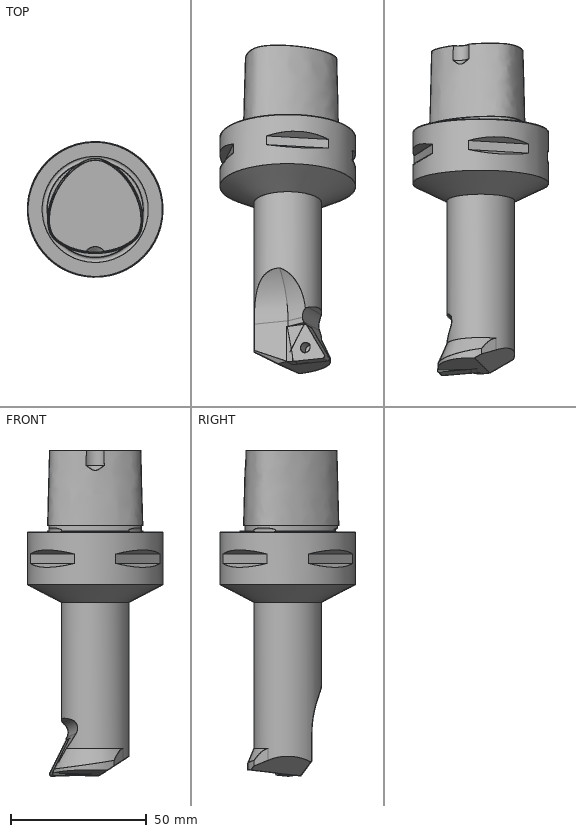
import cadquery as cq
import math

COUPLING_HEIGHT = 30.0
TOOL_REACH = 90.0
NECK_HEIGHT = 2.4
COLLAR_HEIGHT = 0.3
FLANGE_THICKNESS = 19.4
CONE_END = 25.9

COUPLING_TOP_RADIUS = 16.85
COUPLING_BASE_RADIUS = 17.55
LOBE_HEIGHT = 1.27
LOBE_COUNT = 3
LOBE_SAMPLES = 48
NECK_INSET = 0.5

KEY_RADIUS = 4.0
KEY_AXIS_OFFSET = 17.7
KEY_DEPTH = 5.5
KEY_POINT_HEIGHT = 3.6

FLANGE_RADIUS = 25.0
FLANGE_CHAMFER = 0.3
FACE_GROOVE_INNER_RADIUS = 17.6
FACE_GROOVE_OUTER_RADIUS = 19.66
FACE_GROOVE_CENTER_Z = 0.5
SHANK_RADIUS = 12.5

SLOT_COUNT = 4
SLOT_CENTER_Z = -9.85
SLOT_FLOOR_DISTANCE = 22.2
SLOT_FLOOR_WIDTH = 3.4
SLOT_MOUTH_WIDTH = 6.4

INSERT_SIDE = 16.5
INSERT_THICKNESS = 4.76
INSERT_CORNER_RADIUS = 0.8
INSERT_HOLE_RADIUS = 3.81 / 2
INSERT_CORNER_ANGLE = 60.0
INSERT_LEAD_ANGLE = 2.0
SHARP_CORNER_X = -17.35
SHARP_CORNER_Y = 0.0
FACE_RISE_X = 0.23
FACE_RISE_Z = 0.10

GULLET_RADIUS = 4.0
GULLET_START = 16.5
CUT_LENGTH = 40.0

FLARE_START = 79.7
FLARE_SLOPE = 0.41
FLARE_SHIFT_X = -0.35
HEAD_TRIM_RADIUS = 14.8
HEAD_TRIM_CENTER_X = -1.1
HEAD_SIDE_START = (10.4, -6.9)
HEAD_SIDE_ANGLE = -57.0
BOTTOM_RELIEF_ANGLE = 6.7
BOTTOM_CLEARANCE = 0.7
HEEL_TOP = (SHANK_RADIUS, -82.6)
HEEL_BOTTOM = (1.7, -89.6)

RELIEF_Y = 4.7
RELIEF_CORNER_X = -3.5
RELIEF_ANGLE = 19.0
RELIEF_ARC_START = 74.0
RELIEF_ARC_RADIUS = 28.0
RELIEF_ARC_END = 52.0
REAR_CHAMFER_TOP = (8.6, -84.7)
REAR_CHAMFER_BOTTOM = (5.2, -89.3)

SEAT_TOP = 76.2
SEAT_WALL_START = (-4.5, 3.2)
SEAT_WALL_END = (-2.9, 4.9)

corner_distance = INSERT_CORNER_RADIUS / math.sin(math.radians(INSERT_CORNER_ANGLE / 2))
corner_center_angle = math.radians(INSERT_CORNER_ANGLE / 2 + INSERT_LEAD_ANGLE)
corner_drop = corner_distance * math.sin(corner_center_angle) - INSERT_CORNER_RADIUS

INSERT_PLANE = cq.Plane(
    origin=cq.Vector(SHARP_CORNER_X, SHARP_CORNER_Y, -TOOL_REACH - corner_drop),
    xDir=cq.Vector(1, FACE_RISE_X, 0),
    normal=cq.Vector(FACE_RISE_X, -1, FACE_RISE_Z),
)


def polar(distance, degrees):
    angle = math.radians(degrees)
    return distance * math.cos(angle), distance * math.sin(angle)


def lobed_wire(radius, z):
    """Closed curve of constant width with one of its three lobes towards +Y."""

    def point(t):
        angle = 2 * math.pi * t
        turn = angle + math.pi / 2
        reach = radius + LOBE_HEIGHT * math.cos(LOBE_COUNT * angle)
        slide = -LOBE_COUNT * LOBE_HEIGHT * math.sin(LOBE_COUNT * angle)
        x = reach * math.cos(turn) - slide * math.sin(turn)
        y = reach * math.sin(turn) + slide * math.cos(turn)
        return cq.Vector(x, y, z)

    points = [point(i / LOBE_SAMPLES) for i in range(LOBE_SAMPLES)]
    return cq.Wire.assembleEdges([cq.Edge.makeSpline(points, periodic=True)])


def lobed_solid(bottom_radius, bottom_z, top_radius, top_z):
    wires = [lobed_wire(bottom_radius, bottom_z), lobed_wire(top_radius, top_z)]
    return cq.Workplane(cq.Solid.makeLoft(wires, True))


def make_coupling():
    taper = lobed_solid(COUPLING_BASE_RADIUS, NECK_HEIGHT, COUPLING_TOP_RADIUS, COUPLING_HEIGHT)
    neck_radius = COUPLING_BASE_RADIUS - NECK_INSET
    neck = lobed_solid(neck_radius, 0, neck_radius, NECK_HEIGHT)
    key_floor = COUPLING_HEIGHT - KEY_DEPTH
    key = (
        cq.Workplane("XZ")
        .moveTo(0, key_floor - KEY_POINT_HEIGHT)
        .lineTo(KEY_RADIUS, key_floor)
        .lineTo(KEY_RADIUS, COUPLING_HEIGHT)
        .lineTo(0, COUPLING_HEIGHT)
        .close()
        .revolve(360, (0, 0), (0, 1))
        .translate((0, -KEY_AXIS_OFFSET, 0))
    )
    return taper.union(neck).cut(key)


def make_turned_body():
    """Collar, flange, cone and shank, turned about Z."""
    return (
        cq.Workplane("XZ")
        .moveTo(0, COLLAR_HEIGHT)
        .lineTo(FACE_GROOVE_INNER_RADIUS, COLLAR_HEIGHT)
        .lineTo(FACE_GROOVE_INNER_RADIUS, 0)
        .lineTo(FLANGE_RADIUS - FLANGE_CHAMFER, 0)
        .lineTo(FLANGE_RADIUS, -FLANGE_CHAMFER)
        .lineTo(FLANGE_RADIUS, -FLANGE_THICKNESS)
        .lineTo(SHANK_RADIUS, -CONE_END)
        .lineTo(SHANK_RADIUS, -TOOL_REACH)
        .lineTo(0, -TOOL_REACH)
        .close()
        .revolve(360, (0, 0), (0, 1))
    )


def make_face_groove():
    """Round-bottomed ring groove in the flange face, which also undercuts the lobes of the neck."""
    center_radius = (FACE_GROOVE_INNER_RADIUS + FACE_GROOVE_OUTER_RADIUS) / 2
    groove_radius = (FACE_GROOVE_OUTER_RADIUS - FACE_GROOVE_INNER_RADIUS) / 2
    return (
        cq.Workplane("XZ")
        .center(center_radius, FACE_GROOVE_CENTER_Z)
        .circle(groove_radius)
        .revolve(360, (-center_radius, 0), (-center_radius, 1))
    )


def make_gripper_slots():
    slots = cq.Workplane()
    profile = [
        (SLOT_FLOOR_DISTANCE, SLOT_CENTER_Z - SLOT_FLOOR_WIDTH / 2),
        (FLANGE_RADIUS, SLOT_CENTER_Z - SLOT_MOUTH_WIDTH / 2),
        (FLANGE_RADIUS, SLOT_CENTER_Z + SLOT_MOUTH_WIDTH / 2),
        (SLOT_FLOOR_DISTANCE, SLOT_CENTER_Z + SLOT_FLOOR_WIDTH / 2),
    ]
    slot = cq.Workplane("XZ").polyline(profile).close().extrude(FLANGE_RADIUS, both=True)
    pitch = 360 / SLOT_COUNT
    for i in range(SLOT_COUNT):
        slots = slots.add(slot.rotate((0, 0, 0), (0, 0, 1), (i + 0.5) * pitch))
    return slots.combine()


def make_flare():
    """Cone widening and leaning to the bottom, trimmed by an upright wall set off towards the insert."""
    height = TOOL_REACH - FLARE_START
    cone = (
        cq.Workplane("XY")
        .workplane(offset=-TOOL_REACH)
        .center(FLARE_SHIFT_X, 0)
        .circle(SHANK_RADIUS + FLARE_SLOPE * height)
        .workplane(offset=height)
        .center(-FLARE_SHIFT_X, 0)
        .circle(SHANK_RADIUS)
        .loft(ruled=True)
    )
    side_angle = math.radians(HEAD_SIDE_ANGLE)
    side_end = (
        HEAD_TRIM_CENTER_X + HEAD_TRIM_RADIUS * math.cos(side_angle),
        HEAD_TRIM_RADIUS * math.sin(side_angle),
    )
    left = HEAD_TRIM_CENTER_X - HEAD_TRIM_RADIUS
    trim = (
        cq.Workplane("XY")
        .workplane(offset=-TOOL_REACH)
        .moveTo(*HEAD_SIDE_START)
        .lineTo(*side_end)
        .threePointArc((HEAD_TRIM_CENTER_X, -HEAD_TRIM_RADIUS), (left, 0))
        .lineTo(left, RELIEF_Y)
        .lineTo(HEAD_SIDE_START[0], RELIEF_Y)
        .close()
        .extrude(height)
    )
    return cone.intersect(trim)


def make_relief_cutter(angle):
    """Cutter for one relief plane through the relief corner, turned about Z by the angle."""
    arc_rise = RELIEF_ARC_START - RELIEF_ARC_END
    arc_offset = RELIEF_ARC_RADIUS - math.sqrt(RELIEF_ARC_RADIUS**2 - arc_rise**2)
    mid_rise = arc_rise / 2
    mid_offset = RELIEF_ARC_RADIUS - math.sqrt(RELIEF_ARC_RADIUS**2 - mid_rise**2)
    return (
        cq.Workplane("YZ")
        .moveTo(0, -TOOL_REACH)
        .lineTo(0, -RELIEF_ARC_START)
        .threePointArc((mid_offset, -RELIEF_ARC_START + mid_rise), (arc_offset, -RELIEF_ARC_END))
        .lineTo(CUT_LENGTH, -RELIEF_ARC_END)
        .lineTo(CUT_LENGTH, -TOOL_REACH)
        .close()
        .extrude(CUT_LENGTH, both=True)
        .rotate((0, 0, 0), (0, 0, 1), angle)
        .translate((RELIEF_CORNER_X, RELIEF_Y, 0))
    )


def make_gullet():
    """Cut along the upper edge of the insert, rounded at its inner end."""
    edge_angle = INSERT_CORNER_ANGLE + INSERT_LEAD_ANGLE
    low = polar(-GULLET_RADIUS, edge_angle)
    start = polar(GULLET_START, edge_angle)
    outward = polar(GULLET_RADIUS, edge_angle + 90)
    along = polar(GULLET_RADIUS, edge_angle)
    center = (start[0] + outward[0], start[1] + outward[1])
    top = (center[0] + along[0], center[1] + along[1])
    middle_offset = polar(GULLET_RADIUS, edge_angle - 45)
    middle = (center[0] + middle_offset[0], center[1] + middle_offset[1])
    exit_shift = polar(CUT_LENGTH, edge_angle + 90)
    return (
        cq.Workplane(INSERT_PLANE)
        .moveTo(*low)
        .lineTo(*start)
        .threePointArc(middle, top)
        .lineTo(top[0] + exit_shift[0], top[1] + exit_shift[1])
        .lineTo(low[0] + exit_shift[0], low[1] + exit_shift[1])
        .close()
        .extrude(CUT_LENGTH, both=True)
    )


def make_insert_blank():
    corners = [
        (0, 0),
        polar(INSERT_SIDE, INSERT_LEAD_ANGLE),
        polar(INSERT_SIDE, INSERT_LEAD_ANGLE + INSERT_CORNER_ANGLE),
    ]
    plate = cq.Workplane(INSERT_PLANE).polyline(corners).close().extrude(INSERT_THICKNESS)
    return plate.edges(cq.selectors.ParallelDirSelector(INSERT_PLANE.zDir)).fillet(INSERT_CORNER_RADIUS)


def make_insert():
    center = polar(INSERT_SIDE / math.sqrt(3), INSERT_LEAD_ANGLE + INSERT_CORNER_ANGLE / 2)
    hole = (
        cq.Workplane(INSERT_PLANE)
        .center(*center)
        .circle(INSERT_HOLE_RADIUS)
        .extrude(INSERT_THICKNESS)
    )
    return make_insert_blank().cut(hole)


def make_seat_recess():
    """Room in front of the insert face, closed by an upright slanting wall."""
    outline = [
        (-CUT_LENGTH, SEAT_WALL_START[1] - CUT_LENGTH),
        (SEAT_WALL_START[0], SEAT_WALL_START[1] - CUT_LENGTH),
        SEAT_WALL_START,
        SEAT_WALL_END,
        (-CUT_LENGTH, SEAT_WALL_END[1]),
    ]
    room = (
        cq.Workplane("XY")
        .workplane(offset=-TOOL_REACH)
        .polyline(outline)
        .close()
        .extrude(TOOL_REACH - SEAT_TOP)
    )
    front = cq.Workplane(INSERT_PLANE).rect(2 * CUT_LENGTH, 2 * CUT_LENGTH).extrude(-CUT_LENGTH)
    return room.intersect(front)


def make_bottom_cutters():
    """Tilted bottom face, sloping heel on the +X side and chamfer on the +Y side."""
    bottom = (
        cq.Workplane("XY")
        .box(2 * CUT_LENGTH, 2 * CUT_LENGTH, CUT_LENGTH, centered=(True, True, False))
        .translate((0, 0, -CUT_LENGTH))
        .rotate((0, 0, 0), (1, 0, 0), -BOTTOM_RELIEF_ANGLE)
        .translate((0, 0, -TOOL_REACH + BOTTOM_CLEARANCE))
    )
    heel = make_corner_cutter("XZ", HEEL_TOP, HEEL_BOTTOM)
    rear = make_corner_cutter("YZ", REAR_CHAMFER_TOP, REAR_CHAMFER_BOTTOM)
    return [bottom, heel, rear]


def make_corner_cutter(plane, top, bottom):
    """Triangular bar under the line through two points, which is prolonged both ways."""
    run = top[0] - bottom[0]
    rise = top[1] - bottom[1]
    outline = [
        (bottom[0] - run, bottom[1] - rise),
        (top[0] + run, top[1] + rise),
        (top[0] + run, bottom[1] - rise),
    ]
    return cq.Workplane(plane).polyline(outline).close().extrude(CUT_LENGTH, both=True)


def make_holder():
    holder = make_turned_body().union(make_coupling())
    holder = holder.cut(make_face_groove()).cut(make_gripper_slots())
    holder = holder.union(make_flare())
    holder = holder.cut(make_relief_cutter(0).intersect(make_relief_cutter(RELIEF_ANGLE)))
    holder = holder.cut(make_gullet()).cut(make_seat_recess())
    for cutter in make_bottom_cutters():
        holder = holder.cut(cutter)
    return holder.cut(make_insert_blank())


holder = make_holder()
insert = make_insert()
result = cq.Compound.makeCompound([*holder.solids().vals(), *insert.solids().vals()])